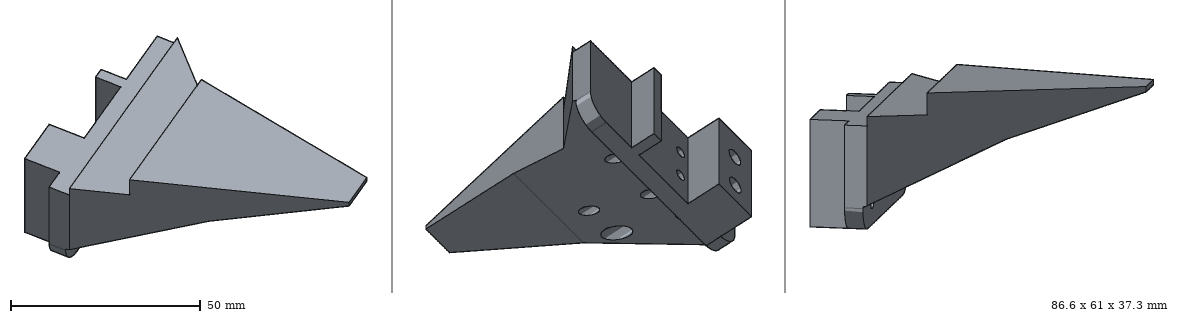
import cadquery as cq

length = 86.6
width = 61.0
height = 37.3

plate_front = 10.5
plate_back = 15.4
plate_height = 28.9
corner_radius = 6.7

block_right = 6.0
block_left = 19.8
rail_right = 40.4
rail_left = 43.6
rail_front = 2.95

arm_front = 16.5
step_x = 31.6
step_height = 31.4
step_left = 46.0
tip_right = 25.5
tip_left = 35.5
tip_underside = 35.85
underside_start = 6.9
underside_bend_x = 51.5
underside_bend_z = 24.25

small_diameter = 3.2
small_near_y = 22.95
small_far_y = 38.0
small_low_z = 9.35
small_high_z = 19.4
small_holes = [
    (small_near_y, small_high_z),
    (small_near_y, small_low_z),
    (small_far_y, small_low_z),
]
large_diameter = 4.85
large_holes = [(13.1, 18.7), (12.9, 6.7)]


def box_between(x_start, x_end, y_start, y_end, z_end):
    """Box standing on Z = 0 between the given limits."""
    size = (x_end - x_start, y_end - y_start, z_end)
    return cq.Workplane("XY").box(*size, centered=False).translate((x_start, y_start, 0))


def make_plate():
    """Upright plate with both lower corners rounded."""
    plate = box_between(plate_front, plate_back, 0, width, plate_height)
    return plate.edges("|X and <Z").fillet(corner_radius)


def make_arm():
    """Stepped side profile, trimmed to the tapering plan outline."""
    profile = (
        cq.Workplane("XZ")
        .moveTo(plate_back, underside_start)
        .lineTo(underside_bend_x, underside_bend_z)
        .lineTo(length, tip_underside)
        .lineTo(length, height)
        .lineTo(step_x, height)
        .lineTo(step_x, step_height)
        .lineTo(arm_front, step_height)
        .lineTo(arm_front, plate_height)
        .lineTo(plate_back, plate_height)
        .close()
        .extrude(-width)
    )
    plan = (
        cq.Workplane("XY")
        .moveTo(plate_back, 0)
        .lineTo(arm_front, 0)
        .lineTo(length, tip_right)
        .lineTo(length, tip_left)
        .lineTo(step_x, step_left)
        .lineTo(arm_front, width)
        .lineTo(plate_back, width)
        .close()
        .extrude(height)
    )
    return profile.intersect(plan)


def make_holes(places, diameter):
    """Cylinders along X that run through the whole part."""
    return cq.Workplane("YZ").pushPoints(places).circle(diameter / 2).extrude(length)


block = box_between(0, plate_back, block_right, block_left, plate_height)
rail = box_between(rail_front, plate_back, rail_right, rail_left, plate_height)

result = make_plate().union(block).union(rail).union(make_arm()).clean()
result = result.cut(make_holes(small_holes, small_diameter))
result = result.cut(make_holes(large_holes, large_diameter))